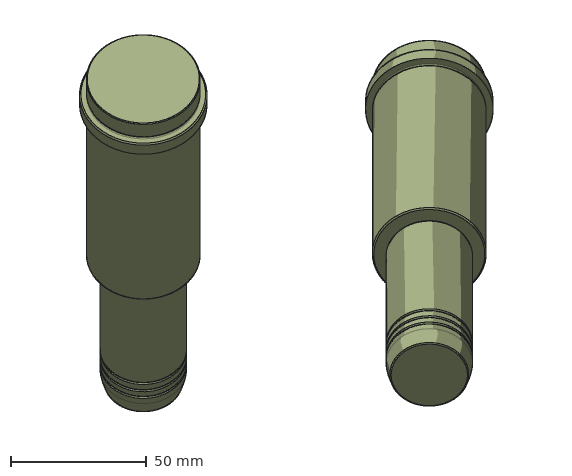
import cadquery as cq

total_length = 180.0
collar_diameter = 47.0
body_diameter = 42.0
shaft_diameter = 31.9
tip_diameter = 28.8

nose_height = 7.0
nose_bulge = 0.2
body_bottom = 75.0
collar_bottom = 165.0
collar_height = 6.0
collar_top = collar_bottom + collar_height

edge_chamfer = 0.5
top_chamfer = 0.4
tip_chamfer = 0.4
collar_chamfer = 0.5
neck_height = 1.0
neck_depth = 0.5
groove_radius = 0.5
ring_groove_heights = (18.9, 14.5, 10.6)

shaft_radius = shaft_diameter / 2
tip_radius = tip_diameter / 2


def cylinder(diameter, bottom, top):
    return cq.Workplane("XY").workplane(offset=bottom).circle(diameter / 2).extrude(top - bottom)


def round_groove(diameter, height):
    """Ring of circular section that cuts a half-round groove centred at the given height."""
    return (
        cq.Workplane("XZ")
        .center(diameter / 2, height)
        .circle(groove_radius)
        .revolve(360, (-diameter / 2, 0, 0), (-diameter / 2, 1, 0))
    )


def make_neck_cut():
    """Ring that cuts the relief neck where the shaft meets the body."""
    neck_bottom = body_bottom - neck_height
    outer = cylinder(shaft_diameter, neck_bottom, body_bottom)
    return outer.cut(cylinder(shaft_diameter - 2 * neck_depth, neck_bottom, body_bottom))


def make_shaft():
    """Slim shaft with a slightly bulged, tapering nose."""
    nose_middle = ((tip_radius + shaft_radius) / 2 + nose_bulge, nose_height / 2)
    shaft = (
        cq.Workplane("XZ")
        .lineTo(tip_radius, 0)
        .threePointArc(nose_middle, (shaft_radius, nose_height))
        .lineTo(shaft_radius, body_bottom)
        .lineTo(0, body_bottom)
        .close()
        .revolve(360, (0, 0, 0), (0, 1, 0))
    )
    shaft = shaft.faces("<Z").chamfer(tip_chamfer)
    for height in ring_groove_heights:
        shaft = shaft.cut(round_groove(shaft_diameter, height))
    return shaft.cut(make_neck_cut())


def make_body():
    """Thick body with a relief groove on each side of the collar seat."""
    body = cylinder(body_diameter, body_bottom, total_length)
    body = body.faces("<Z").chamfer(edge_chamfer)
    body = body.faces(">Z").chamfer(top_chamfer)
    body = body.cut(round_groove(body_diameter, collar_bottom - groove_radius))
    return body.cut(round_groove(body_diameter, collar_top + groove_radius))


def make_collar():
    collar = cylinder(collar_diameter, collar_bottom, collar_top)
    return collar.faces(">Z").chamfer(collar_chamfer)


result = make_shaft().union(make_body()).union(make_collar())